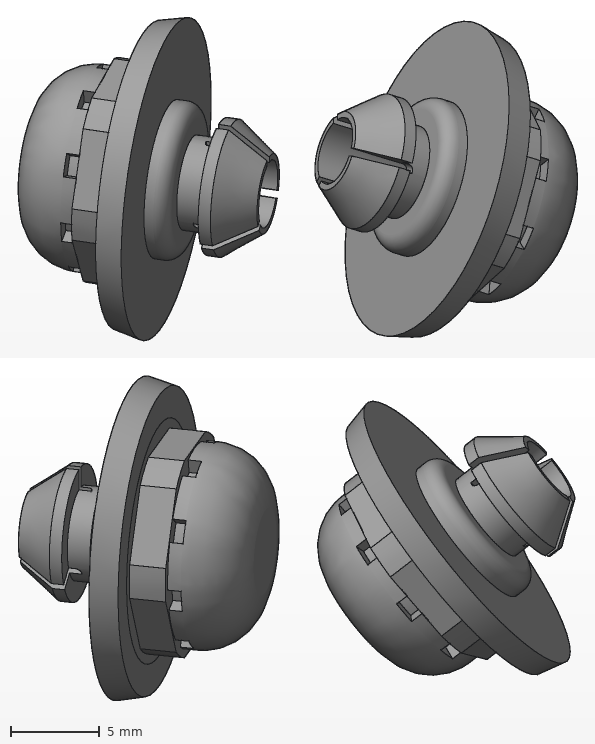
import cadquery as cq
import math


dome_end_x = 3.34
hex_start_x = 4.12
seal_start_x = 6.23
seal_washer_end_x = 7.84
seal_collar_end_x = 9.24
barb_start_x = 10.85
barb_rim_end_x = 11.57
tip_x = 13.83

cap_radius = 11.85 / 2
dome_flat_radius = 5.0 / 2
vent_count = 9
vent_angle = 13.0
first_vent_angle = -9.0
vent_floor_radius = 5.05

hex_sides = 6
hex_across_flats = 12.0
hex_corner_diameter = 12.84
flange_diameter = 14.0
flange_thickness = 0.8
flange_end_x = seal_start_x + flange_thickness
stem_radius = 5.45 / 2
barb_radius = 7.9 / 2
tip_radius = 4.6 / 2
bore_diameter = 3.9

slit_count = 3
slit_width = 0.45
slit_start_x = 10.13
slit_corner_radius = 0.35

seal_rim_radius = 18.45 / 2
seal_face_radius = 17.7 / 2
collar_radius = 9.1 / 2
collar_fillet = 0.84


def disc(start_x, end_x, diameter):
    """Cylinder along X between two stations."""
    return cq.Workplane("YZ", origin=(start_x, 0, 0)).circle(diameter / 2).extrude(end_x - start_x)


def turn(profile):
    """Revolve a closed (x, radius) profile about the X axis."""
    return profile.close().revolve(360, (0, 0, 0), (1, 0, 0))


def vent_slot(angle):
    """Radial slot in the cap skirt, centred at an angle measured from -Y toward +Z."""
    outer_reach = 2 * cap_radius
    half_angle = math.radians(vent_angle / 2)
    middle = math.radians(180 - angle)
    corners = [
        (outer_reach * math.cos(edge), outer_reach * math.sin(edge))
        for edge in (middle - half_angle, middle + half_angle)
    ]
    wedge = (
        cq.Workplane("YZ", origin=(dome_end_x, 0, 0))
        .polyline([(0, 0)] + corners)
        .close()
        .extrude(hex_start_x - dome_end_x)
    )
    return wedge.cut(disc(dome_end_x, hex_start_x, 2 * vent_floor_radius))


def make_cap():
    quarter_mid = math.sqrt(0.5)
    dome_mid_x = dome_end_x * (1 - quarter_mid)
    dome_mid_radius = dome_flat_radius + (cap_radius - dome_flat_radius) * quarter_mid
    cap = turn(
        cq.Workplane("XY")
        .lineTo(0, dome_flat_radius)
        .threePointArc((dome_mid_x, dome_mid_radius), (dome_end_x, cap_radius))
        .lineTo(hex_start_x, cap_radius)
        .lineTo(hex_start_x, 0)
    )
    for index in range(vent_count):
        cap = cap.cut(vent_slot(first_vent_angle + index * 360 / vent_count))
    return cap


def make_hex():
    """Hex with flats facing +Z and -Z and its corners turned round."""
    length = seal_start_x - hex_start_x
    half_corner_angle = 180 / hex_sides
    hexagon = (
        cq.Workplane("YZ", origin=(hex_start_x, 0, 0))
        .polygon(hex_sides, hex_across_flats, circumscribed=True)
        .extrude(length)
        .rotate((0, 0, 0), (1, 0, 0), half_corner_angle)
    )
    return hexagon.intersect(disc(hex_start_x, seal_start_x, hex_corner_diameter))


def make_slit():
    """Slit from the axis out through +Z, with its -Y inner corner rounded."""
    return (
        cq.Workplane("XY")
        .moveTo(slit_start_x, slit_width / 2)
        .lineTo(tip_x, slit_width / 2)
        .lineTo(tip_x, -slit_width / 2)
        .lineTo(slit_start_x + slit_corner_radius, -slit_width / 2)
        .radiusArc((slit_start_x, slit_corner_radius - slit_width / 2), slit_corner_radius)
        .close()
        .extrude(barb_radius)
    )


def make_body():
    stem = turn(
        cq.Workplane("XY")
        .moveTo(flange_end_x, 0)
        .lineTo(flange_end_x, stem_radius)
        .lineTo(barb_start_x, stem_radius)
        .lineTo(barb_start_x, barb_radius)
        .lineTo(barb_rim_end_x, barb_radius)
        .lineTo(tip_x, tip_radius)
        .lineTo(tip_x, 0)
    )
    body = make_hex().union(disc(seal_start_x, flange_end_x, flange_diameter)).union(stem)
    body = body.cut(disc(hex_start_x, tip_x, bore_diameter))
    slit = make_slit()
    for index in range(slit_count):
        body = body.cut(slit.rotate((0, 0, 0), (1, 0, 0), index * 360 / slit_count))
    return body


def make_seal():
    """Tapered washer and rounded collar, recessed for the flange and bored for the stem."""
    washer = turn(
        cq.Workplane("XY")
        .moveTo(seal_start_x, 0)
        .lineTo(seal_start_x, seal_face_radius)
        .lineTo(seal_washer_end_x, seal_rim_radius)
        .lineTo(seal_washer_end_x, 0)
    )
    collar = disc(seal_washer_end_x, seal_collar_end_x, 2 * collar_radius)
    collar = collar.faces(">X").edges().fillet(collar_fillet)
    flange_recess = disc(seal_start_x, flange_end_x, flange_diameter)
    stem_hole = disc(flange_end_x, seal_collar_end_x, 2 * stem_radius)
    return washer.union(collar).cut(flange_recess).cut(stem_hole)


cap = make_cap()
body = make_body()
seal = make_seal()
result = cq.Compound.makeCompound([cap.val(), body.val(), seal.val()])